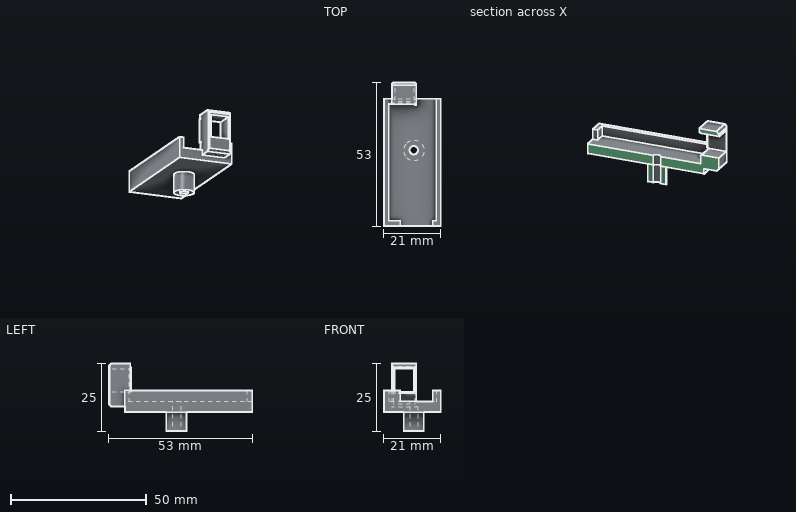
import cadquery as cq

TOTAL_LENGTH = 53.0
BASE_WIDTH = 21.0
BASE_LENGTH = 47.0
BASE_HEIGHT = 8.0
FLOOR_HEIGHT = BASE_HEIGHT / 2
SIDE_WALL = 1.75
END_WALL = 2.0

MOUTH_LEFT = 5.95
MOUTH_WIDTH = 12.0

SPACER_X = 10.95
SPACER_Y = 28.0
SPACER_DIAMETER = 7.5
SPACER_LENGTH = 7.0
BORE_DIAMETER = 3.0

FRAME_LEFT = 2.9
FRAME_WIDTH = 9.0
FRAME_RIGHT = FRAME_LEFT + FRAME_WIDTH
FRAME_FRONT = BASE_LENGTH - END_WALL
FRAME_DEPTH = TOTAL_LENGTH - FRAME_FRONT
FRAME_BOTTOM = 2.0
FRAME_TOP = 18.0
FRAME_HEIGHT = FRAME_TOP - FRAME_BOTTOM
REAR_CHAMFER = 1.0
REAR_SIDE_CHAMFER = 0.505

WINDOW_SIDE = 1.0
WINDOW_SILL = 7.5
WINDOW_TOP = FRAME_TOP - 2.0
WINDOW_WIDTH = FRAME_WIDTH - 2 * WINDOW_SIDE
WINDOW_HEIGHT = WINDOW_TOP - WINDOW_SILL
BEVEL = 0.505

SILL_SETBACK = 0.505
SILL_FRONT = FRAME_FRONT + SILL_SETBACK

LIP_WIDTH = WINDOW_SIDE - BEVEL
LIP_DEPTH = 0.45


def block(x, y, z, width, depth, height):
    """Box placed by its lower front left corner."""
    return cq.Workplane("XY").box(width, depth, height, centered=False).translate((x, y, z))


def frame_blank():
    """Frame outline with its rear edges chamfered."""
    blank = block(FRAME_LEFT, FRAME_FRONT, FRAME_BOTTOM, FRAME_WIDTH, FRAME_DEPTH, FRAME_HEIGHT)
    blank = blank.edges(">Y and |X").chamfer(REAR_CHAMFER)
    side_edges = blank.faces(">Y").edges("|Z")
    return side_edges.chamfer(REAR_SIDE_CHAMFER)


def rim_bevel():
    """Tapered cut round the top and sides of the window, ending at sill height."""
    center_x = FRAME_LEFT + FRAME_WIDTH / 2
    center_z = (WINDOW_SILL + WINDOW_TOP) / 2
    taper = (
        cq.Workplane("XZ", origin=(center_x, FRAME_FRONT, center_z))
        .rect(WINDOW_WIDTH + 2 * BEVEL, WINDOW_HEIGHT + 2 * BEVEL)
        .workplane(offset=-BEVEL)
        .rect(WINDOW_WIDTH, WINDOW_HEIGHT)
        .loft(ruled=True)
    )
    below_sill = block(
        FRAME_LEFT, FRAME_FRONT, WINDOW_SILL - BEVEL,
        FRAME_WIDTH, BEVEL, BEVEL,
    )
    return taper.cut(below_sill)


def sill_bevel():
    """Triangular cut along the front edge of the set-back sill."""
    return (
        cq.Workplane("YZ", origin=(FRAME_LEFT + WINDOW_SIDE, SILL_FRONT, WINDOW_SILL))
        .polyline([(0, 0), (BEVEL, 0), (0, -BEVEL)]).close()
        .extrude(WINDOW_WIDTH)
    )


def make_frame():
    window = block(
        FRAME_LEFT + WINDOW_SIDE, FRAME_FRONT, WINDOW_SILL,
        WINDOW_WIDTH, FRAME_DEPTH, WINDOW_HEIGHT,
    )
    lip = block(
        FRAME_RIGHT - LIP_WIDTH, FRAME_FRONT - LIP_DEPTH, WINDOW_SILL,
        LIP_WIDTH, LIP_DEPTH, WINDOW_HEIGHT + BEVEL,
    )
    frame = frame_blank().cut(window)
    return frame.cut(rim_bevel()).cut(sill_bevel()).union(lip)


def make_tray():
    wall_height = BASE_HEIGHT - FLOOR_HEIGHT
    inner_width = BASE_WIDTH - 2 * SIDE_WALL
    tray = block(0, 0, 0, BASE_WIDTH, BASE_LENGTH, BASE_HEIGHT)

    pocket = block(
        SIDE_WALL, END_WALL, FLOOR_HEIGHT,
        inner_width, BASE_LENGTH - 2 * END_WALL, wall_height,
    )
    mouth = block(MOUTH_LEFT, 0, FLOOR_HEIGHT, MOUTH_WIDTH, END_WALL, wall_height)
    rear_gap = block(
        FRAME_RIGHT, FRAME_FRONT, FLOOR_HEIGHT,
        BASE_WIDTH - SIDE_WALL - FRAME_RIGHT, END_WALL, wall_height,
    )
    frame_notch = block(
        FRAME_LEFT, FRAME_FRONT, FLOOR_HEIGHT,
        FRAME_WIDTH, END_WALL, wall_height,
    )
    for recess in (pocket, mouth, rear_gap, frame_notch):
        tray = tray.cut(recess)
    return tray


def bore_cut():
    """Round cut along the spacer axis, through the spacer and the tray floor."""
    return (
        cq.Workplane("XY", origin=(SPACER_X, SPACER_Y, -SPACER_LENGTH))
        .circle(BORE_DIAMETER / 2).extrude(SPACER_LENGTH + FLOOR_HEIGHT)
    )


def sill_setback():
    """Shallow cut into the lower part of the rear end wall and frame."""
    return block(
        SIDE_WALL, FRAME_FRONT, FLOOR_HEIGHT,
        FRAME_RIGHT - SIDE_WALL, SILL_SETBACK, WINDOW_SILL - FLOOR_HEIGHT,
    )


def make_holder():
    """Tray and upright frame as one body."""
    holder = make_tray().union(make_frame()).clean()
    return holder.cut(sill_setback()).cut(bore_cut())


def make_spacer():
    """Tube against the underside of the tray."""
    tube = (
        cq.Workplane("XY", origin=(SPACER_X, SPACER_Y, -SPACER_LENGTH))
        .circle(SPACER_DIAMETER / 2).extrude(SPACER_LENGTH)
    )
    return tube.cut(bore_cut())


holder = make_holder()
spacer = make_spacer()
result = cq.Compound.makeCompound([holder.val(), spacer.val()])